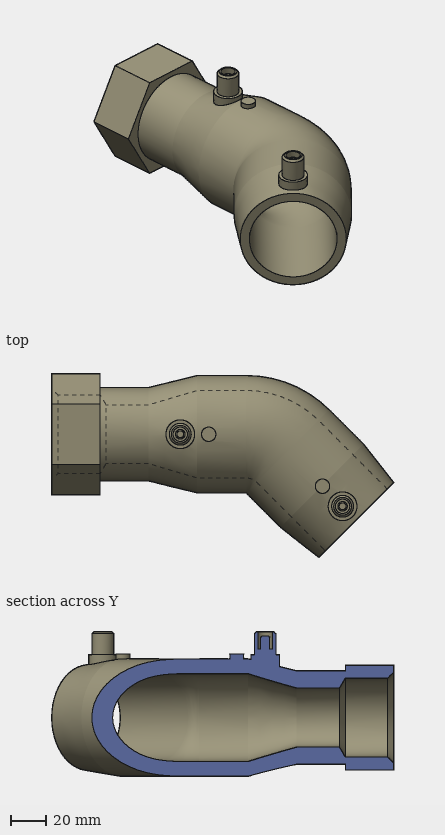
import cadquery as cq
import math

SEGMENT = 27.7
BEND_ANGLE = 45
BEND_CLEARANCE = 0.2
BODY_RADIUS = 33.5
SLEEVE_RADIUS = 26.7
SPIGOT_END_RADIUS = 30.2
SPIGOT_TAPER = 27.5
NUT_FLATS = 59.9
NUT_TURN = 30

PIPE_BORE_RADIUS = 25.0
NUT_BORE_RADIUS = 22.5
THROAT_RADIUS = 16.8
NUT_CHAMFER = 3.5
SHOULDER_LENGTH = 3.3

TERMINAL_TOP = 49.0
COLLAR_TOP = 35.9
COLLAR_RADIUS = 8.2
POST_RADIUS = 6.2
POST_CHAMFER = 1.2
SOCKET_RADIUS = 4.0
SOCKET_DEPTH = 9.7
CONTACT_RADIUS = 2.7
CONTACT_RECESS = 2.3
CONTACT_CHAMFER = 0.8
INDICATOR_TOP = 36.3
INDICATOR_RADIUS = 4.0
INDICATOR_SPACING = 16.2
INLET_TERMINAL_X = 73.3
OUTLET_TERMINAL_SETBACK = 11.1

sleeve_start = SEGMENT
taper_start = 2 * SEGMENT
body_start = 3 * SEGMENT
throat_start = sleeve_start + SHOULDER_LENGTH
bend_start = 4 * SEGMENT
outlet_length = SEGMENT + SPIGOT_TAPER

bend_radius = BODY_RADIUS + BEND_CLEARANCE
angle = math.radians(BEND_ANGLE)
outlet_axis = cq.Vector(math.cos(angle), -math.sin(angle), 0)
bend_end = cq.Vector(
    bend_start + bend_radius * math.sin(angle),
    -bend_radius * (1 - math.cos(angle)),
    0,
)


def turned_along_x(profile):
    """Revolve (x, radius) points, closed along the axis, about X."""
    points = [(profile[0][0], 0), *profile, (profile[-1][0], 0)]
    return cq.Workplane("XY").polyline(points).close().revolve(360, (0, 0, 0), (1, 0, 0))


def bend(radius):
    """Toroidal elbow of the given section radius."""
    section = cq.Workplane("YZ", origin=(bend_start, 0, 0)).circle(radius)
    return section.revolve(BEND_ANGLE, (-bend_radius, 2, 0), (-bend_radius, -2, 0))


def outlet(profile):
    """Turned stretch placed at the end of the bend."""
    turned = turned_along_x(profile).rotate((0, 0, 0), (0, 0, 1), -BEND_ANGLE)
    return turned.translate(bend_end)


def post(x, y, radius, bottom, top):
    return cq.Workplane("XY", origin=(x, y, bottom)).circle(radius).extrude(top - bottom)


def terminal(x, y, bottom):
    """Collared post with a socket around a contact pin."""
    collar = post(x, y, COLLAR_RADIUS, bottom, COLLAR_TOP)
    shroud = post(x, y, POST_RADIUS, bottom, TERMINAL_TOP).faces(">Z").chamfer(POST_CHAMFER)
    socket = post(x, y, SOCKET_RADIUS, TERMINAL_TOP - SOCKET_DEPTH, TERMINAL_TOP)
    contact = post(x, y, CONTACT_RADIUS, bottom, TERMINAL_TOP - CONTACT_RECESS)
    contact = contact.faces(">Z").chamfer(CONTACT_CHAMFER)
    return collar.union(shroud).cut(socket).union(contact)


nut = cq.Workplane("YZ").polygon(6, NUT_FLATS, circumscribed=True)
nut = nut.extrude(SEGMENT).rotate((0, 0, 0), (1, 0, 0), NUT_TURN)
inlet = turned_along_x([
    (sleeve_start, SLEEVE_RADIUS),
    (taper_start, SLEEVE_RADIUS),
    (body_start, BODY_RADIUS),
    (bend_start, BODY_RADIUS),
])
spigot = outlet([
    (0, BODY_RADIUS),
    (SEGMENT, BODY_RADIUS),
    (outlet_length, SPIGOT_END_RADIUS),
])
fitting = nut.union(inlet).union(bend(BODY_RADIUS)).union(spigot)

root = (PIPE_BORE_RADIUS + SPIGOT_END_RADIUS) / 2
outlet_terminal = bend_end + outlet_axis * (outlet_length - OUTLET_TERMINAL_SETBACK)
outlet_indicator = outlet_terminal - outlet_axis * INDICATOR_SPACING
for x, y in [(INLET_TERMINAL_X, 0), (outlet_terminal.x, outlet_terminal.y)]:
    fitting = fitting.union(terminal(x, y, root))
for x, y in [(INLET_TERMINAL_X + INDICATOR_SPACING, 0), (outlet_indicator.x, outlet_indicator.y)]:
    fitting = fitting.union(post(x, y, INDICATOR_RADIUS, root, INDICATOR_TOP))

inlet_bore = turned_along_x([
    (0, NUT_BORE_RADIUS + NUT_CHAMFER),
    (NUT_CHAMFER, NUT_BORE_RADIUS),
    (sleeve_start, NUT_BORE_RADIUS),
    (throat_start, THROAT_RADIUS),
    (taper_start, THROAT_RADIUS),
    (body_start, PIPE_BORE_RADIUS),
    (bend_start, PIPE_BORE_RADIUS),
])
outlet_bore = outlet([(0, PIPE_BORE_RADIUS), (outlet_length, PIPE_BORE_RADIUS)])
result = fitting.cut(inlet_bore).cut(bend(PIPE_BORE_RADIUS)).cut(outlet_bore)